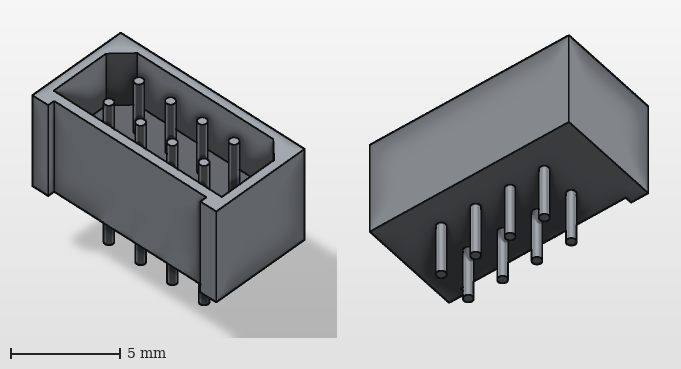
import cadquery as cq

body_length = 11.6
body_width = 5.5
body_height = 5.6

rib_length = 1.0
rib_projection = 0.4

wall = 0.5
cavity_depth = 3.2
key_chamfer = 1.0

pin_columns = 4
pin_rows = 2
pin_pitch = 2.0
pin_diameter = 0.5
pin_tail = 3.1
pin_tip_recess = 0.1


def make_body():
    """Solid block that forms the shroud."""
    return cq.Workplane("XY").box(body_length, body_width, body_height, centered=(True, True, False))


def make_ribs():
    """Two full-height ribs, flush with the ends of the body."""
    rib_x = (body_length - rib_length) / 2
    rib_y = -(body_width + rib_projection) / 2
    return (
        cq.Workplane("XY")
        .pushPoints([(-rib_x, rib_y), (rib_x, rib_y)])
        .rect(rib_length, rib_projection)
        .extrude(body_height)
    )


def make_cavity():
    """Rectangular pocket whose two +Y corners are chamfered for keying."""
    cavity_length = body_length - 2 * wall
    cavity_width = body_width - 2 * wall
    return (
        cq.Workplane("XY")
        .workplane(offset=body_height - cavity_depth)
        .rect(cavity_length, cavity_width)
        .extrude(cavity_depth)
        .edges("|Z and >Y")
        .chamfer(key_chamfer)
    )


def make_pins():
    """Grid of straight round pins running through the cavity floor."""
    pin_length = pin_tail + body_height - pin_tip_recess
    return (
        cq.Workplane("XY")
        .workplane(offset=-pin_tail)
        .rarray(pin_pitch, pin_pitch, pin_columns, pin_rows)
        .circle(pin_diameter / 2)
        .extrude(pin_length)
    )


shroud = make_body().union(make_ribs()).cut(make_cavity())
result = shroud.union(make_pins())